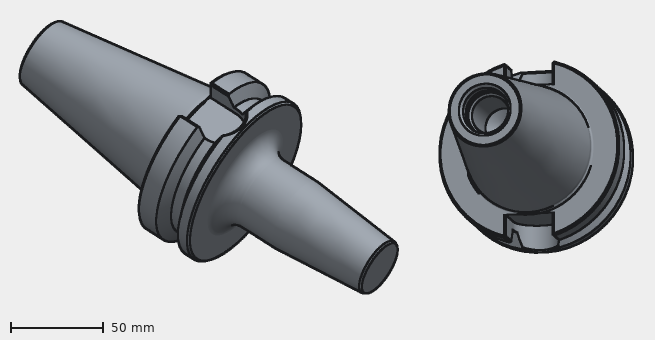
import cadquery as cq
import math

total_length = 231.8
blend_x = 101.3
shoulder_fillet_start_x = 103.5
flange_back_x = 104.8
groove_back_x = 117.5
groove_front_x = 132.4
flange_front_x = 139.8
neck_start_x = 151.5
nose_start_x = 174.8

taper_rate = 7 / 48
shoulder_radius = 69.8 / 2
blend_half_length = 0.7
taper_back_radius = shoulder_radius - blend_x * taper_rate
taper_back_chamfer = 0.7

flange_radius = 100.0 / 2
flange_back_chamfer = 1.0
flange_front_chamfer = 1.2
groove_floor_radius = 42.2
groove_side_angle = 28.0

neck_radius = 21.3
nose_tip_radius = 16.5
nose_chamfer_length = 1.5
nose_chamfer_height = 0.7

keyway_width = 25.7
keyway_floor_height = 35.5
keyway_end_x = 136.3
keyway_chamfer = 1.05

mouth_radius = 14.4
mouth_chamfer = 0.5
pilot_radius = 12.5
pilot_start_x = 2.0
pilot_end_x = 8.3
thread_radius = 12.0
thread_end_x = 12.5
drill_radius = 10.5
drill_end_x = 46.4
drill_point_angle = 118.0

selection_margin = 0.2


def revolve_about_x(profile):
    return profile.close().revolve(360, (0, 0, 0), (1, 0, 0))


def make_body():
    blend_start_x = blend_x - blend_half_length
    shoulder_fillet = flange_back_x - shoulder_fillet_start_x
    groove_slope = (flange_radius - groove_floor_radius) * math.tan(math.radians(groove_side_angle))
    neck_fillet = neck_start_x - flange_front_x
    profile = (
        cq.Workplane("XY")
        .lineTo(0, taper_back_radius - taper_back_chamfer)
        .lineTo(taper_back_chamfer, taper_back_radius + taper_back_chamfer * taper_rate)
        .lineTo(blend_start_x, taper_back_radius + blend_start_x * taper_rate)
        .tangentArcPoint((blend_x + blend_half_length, shoulder_radius), relative=False)
        .lineTo(shoulder_fillet_start_x, shoulder_radius)
        .radiusArc((flange_back_x, shoulder_radius + shoulder_fillet), -shoulder_fillet)
        .lineTo(flange_back_x, flange_radius - flange_back_chamfer)
        .lineTo(flange_back_x + flange_back_chamfer, flange_radius)
        .lineTo(groove_back_x, flange_radius)
        .lineTo(groove_back_x + groove_slope, groove_floor_radius)
        .lineTo(groove_front_x - groove_slope, groove_floor_radius)
        .lineTo(groove_front_x, flange_radius)
        .lineTo(flange_front_x - flange_front_chamfer, flange_radius)
        .lineTo(flange_front_x, flange_radius - flange_front_chamfer)
        .lineTo(flange_front_x, neck_radius + neck_fillet)
        .radiusArc((neck_start_x, neck_radius), -neck_fillet)
        .lineTo(nose_start_x, neck_radius)
        .lineTo(total_length - nose_chamfer_length, nose_tip_radius)
        .lineTo(total_length, nose_tip_radius - nose_chamfer_height)
        .lineTo(total_length, 0)
    )
    return revolve_about_x(profile)


def make_bore():
    drill_point_length = drill_radius / math.tan(math.radians(drill_point_angle / 2))
    thread_runout = thread_radius - drill_radius
    thread_chamfer = pilot_radius - thread_radius
    profile = (
        cq.Workplane("XY")
        .lineTo(0, mouth_radius)
        .lineTo(mouth_chamfer, mouth_radius - mouth_chamfer)
        .lineTo(pilot_start_x, pilot_radius)
        .lineTo(pilot_end_x, pilot_radius)
        .lineTo(pilot_end_x + thread_chamfer, thread_radius)
        .lineTo(thread_end_x, thread_radius)
        .lineTo(thread_end_x + thread_runout, drill_radius)
        .lineTo(drill_end_x, drill_radius)
        .lineTo(drill_end_x + drill_point_length, 0)
    )
    return revolve_about_x(profile)


def cut_keyways(body):
    """Cut two opposite keyways, open at the back of the flange and round at the front."""
    half_width = keyway_width / 2
    arc_start_x = keyway_end_x - half_width
    keyway = (
        cq.Workplane("XY", origin=(0, 0, keyway_floor_height))
        .moveTo(flange_back_x, -half_width)
        .lineTo(arc_start_x, -half_width)
        .threePointArc((keyway_end_x, 0), (arc_start_x, half_width))
        .lineTo(flange_back_x, half_width)
        .close()
        .extrude(flange_radius - keyway_floor_height)
    )
    return body.cut(keyway).cut(keyway.rotate((0, 0, 0), (1, 0, 0), 180))


def edges_between(body, low_corner, high_corner):
    """Edges whose centre lies inside the box with the given corners."""
    return body.edges(cq.selectors.BoxSelector(low_corner, high_corner)).vals()


def chamfer_keyways(body):
    """Bevel the keyway walls along the flange back face and along both flange rims."""
    half_width = keyway_width / 2
    edges = []
    for z_side in (1, -1):
        wall_low_z = z_side * (keyway_floor_height + selection_margin)
        outer_z = z_side * (flange_radius + selection_margin)
        for y_side in (1, -1):
            wall_y = y_side * half_width
            edges += edges_between(
                body,
                (flange_back_x - selection_margin, wall_y - selection_margin, wall_low_z),
                (groove_back_x, wall_y + selection_margin, outer_z),
            )
        edges += edges_between(
            body,
            (groove_front_x, -half_width, wall_low_z),
            (keyway_end_x, half_width, outer_z),
        )
    return body.newObject(edges).chamfer(keyway_chamfer)


body = make_body().cut(make_bore())
result = chamfer_keyways(cut_keyways(body))